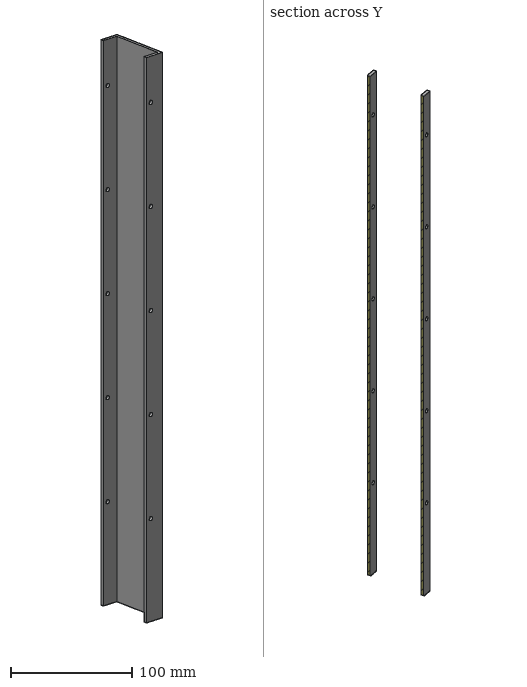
import cadquery as cq

length = 500.0
width = 56.0
depth = 18.0
wall = 3.0

hole_diameter = 3.5
hole_count = 5
hole_pitch = 92.0
first_hole_height = 91.0
hole_edge_distance = 5.0


def make_channel():
    """Extrude the U-shaped section upward, centred on X and Y."""
    outer = cq.Workplane("XY").box(width, depth, length, centered=(True, True, False))
    inner = (
        cq.Workplane("XY")
        .box(width - 2 * wall, depth, length, centered=(True, True, False))
        .translate((0, -wall, 0))
    )
    return outer.cut(inner)


def make_flange_holes():
    """Cylinders along X that cross the full width of the channel."""
    hole_y = -depth / 2 + hole_edge_distance
    centres = [(hole_y, first_hole_height + i * hole_pitch) for i in range(hole_count)]
    return (
        cq.Workplane("YZ")
        .pushPoints(centres)
        .circle(hole_diameter / 2)
        .extrude(width / 2, both=True)
    )


result = make_channel().cut(make_flange_holes())